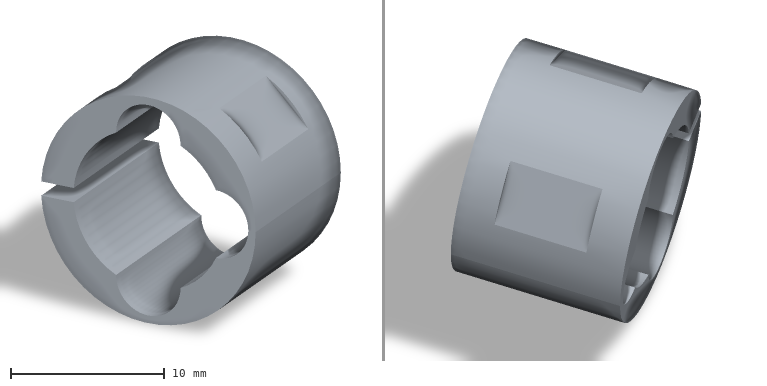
import cadquery as cq

outer_radius = 7.94
bore_radius = 5.55
length = 11.69

lobe_radius = 2.38
lobe_offset = 5.02
lobe_angles = (0, 90, 270)

slit_width = 1.0

flat_distance = 7.62
flat_length = 6.35
flat_angles = (45, 135)


def cylinder(radius, height):
    """Cylinder along Y, centred on the origin."""
    return cq.Workplane("XZ", origin=(0, height / 2, 0)).circle(radius).extrude(height)


def turned(shape, angle):
    """Turn a shape about the ring axis, from +X toward +Z."""
    return shape.rotate((0, 0, 0), (0, -1, 0), angle)


def make_ring():
    return cylinder(outer_radius, length).cut(cylinder(bore_radius, length))


def make_lobe(angle):
    lobe = cylinder(lobe_radius, length).translate((lobe_offset, 0, 0))
    return turned(lobe, angle)


def make_slit():
    slit = cq.Workplane("XY").box(outer_radius, length, slit_width)
    return slit.translate((-outer_radius / 2, 0, 0))


def make_flat_cutter(angle):
    """Block that removes the wall beyond the flat."""
    block = cq.Workplane("XY").box(
        outer_radius, flat_length, outer_radius, centered=(False, True, True)
    )
    return turned(block.translate((flat_distance, 0, 0)), angle)


result = make_ring().cut(make_slit())
for lobe_angle in lobe_angles:
    result = result.cut(make_lobe(lobe_angle))
for flat_angle in flat_angles:
    result = result.cut(make_flat_cutter(flat_angle))